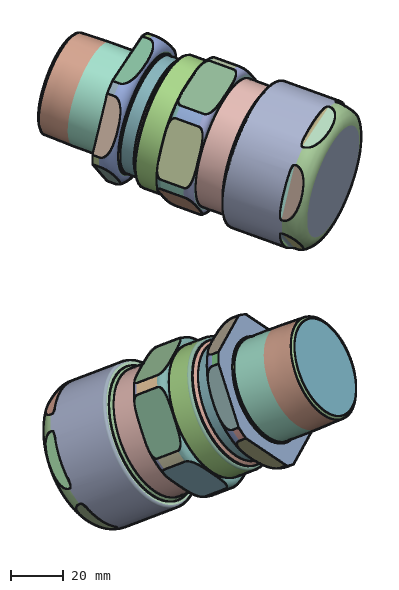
import cadquery as cq
import math


HEX_SIDES = 6
HEX_FLATS = 54.9
HEX_CORNERS_DIAMETER = 60.5

SPIGOT_DIAMETER = 42.1
SPIGOT_TIP_DIAMETER = 41.4
SPIGOT_FACE_DIAMETER = 39.1
TIP_CHAMFER_LENGTH = 0.9
TAPER_END = 13.4
ROOT_LENGTH = 0.7
ROOT_RISE = 0.5
COLLAR_START = 28.2
COLLAR_END = 36.3
COLLAR_ROUND = 5.1
NECK_DIAMETER = 47.9

SKIRT_START = 44.4
SKIRT_DIAMETER = 53.9
HEX_START = 54.4
HEX_END = 70.0
HEX_ROUND = 2.9
SLEEVE_DIAMETER = 52.2

NUT_START = 82.7
NUT_END = 115.7
NUT_DIAMETER = 59.5
NUT_END_ROUND = 7.2
FLAT_START = 107.2
FLAT_ROUND = 1.0
RIM_ROUND = 1.0

FRONT_SEAL_START = 42.7
FRONT_SEAL_DIAMETER = 50.8
REAR_SEAL_START = 81.4
REAR_SEAL_DIAMETER = 54.6


def cylinder(start, end, diameter):
    """A cylinder on the X axis."""
    return cq.Workplane("YZ", origin=(start, 0, 0)).circle(diameter / 2).extrude(end - start)


def revolve_about_x(profile):
    """Turn a closed (X, radius) profile once around the X axis."""
    return profile.close().revolve(360, (0, 0, 0), (1, 0, 0))


def hexagon(start, end, rounded_edges, rounding):
    """A hexagon with corners on +-Y, trimmed by a cylinder whose chosen end edges are rounded."""
    prism = (
        cq.Workplane("YZ", origin=(start, 0, 0))
        .polygon(HEX_SIDES, HEX_FLATS / math.cos(math.pi / HEX_SIDES))
        .extrude(end - start)
    )
    envelope = cylinder(start, end, HEX_CORNERS_DIAMETER).edges(rounded_edges).fillet(rounding)
    return prism.intersect(envelope)


def make_entry_fitting():
    spigot_radius = SPIGOT_DIAMETER / 2
    neck_radius = NECK_DIAMETER / 2
    turned = revolve_about_x(
        cq.Workplane("XY")
        .moveTo(0, 0)
        .lineTo(0, SPIGOT_FACE_DIAMETER / 2)
        .lineTo(TIP_CHAMFER_LENGTH, SPIGOT_TIP_DIAMETER / 2)
        .lineTo(TAPER_END, spigot_radius)
        .lineTo(COLLAR_START - ROOT_LENGTH, spigot_radius)
        .lineTo(COLLAR_START, spigot_radius + ROOT_RISE)
        .lineTo(COLLAR_END, neck_radius + ROOT_RISE)
        .lineTo(COLLAR_END + ROOT_LENGTH, neck_radius)
        .lineTo(SKIRT_START, neck_radius)
        .lineTo(SKIRT_START, 0)
    )
    return turned.union(hexagon(COLLAR_START, COLLAR_END, ">X", COLLAR_ROUND))


def make_seal(start, inner_diameter, outer_diameter, seat):
    """A ring that widens at 45 degrees and then runs straight up to its seat."""
    inner_radius = inner_diameter / 2
    outer_radius = outer_diameter / 2
    cone_end = start + outer_radius - inner_radius
    return revolve_about_x(
        cq.Workplane("XY")
        .moveTo(start, inner_radius)
        .lineTo(cone_end, outer_radius)
        .lineTo(seat, outer_radius)
        .lineTo(seat, inner_radius)
    )


def make_middle_body():
    skirt = cylinder(SKIRT_START, HEX_START, SKIRT_DIAMETER).edges("<X").fillet(RIM_ROUND)
    sleeve = cylinder(HEX_END, NUT_START, SLEEVE_DIAMETER)
    return skirt.union(hexagon(HEX_START, HEX_END, "%CIRCLE", HEX_ROUND)).union(sleeve)


def make_flat_cutter():
    """Removes the material above one flat; the flat runs out of the nut's rear end."""
    flat_height = HEX_FLATS / 2
    corner_offset = FLAT_ROUND * (1 - math.sqrt(0.5))
    return (
        cq.Workplane("XZ")
        .moveTo(NUT_END, flat_height)
        .lineTo(FLAT_START + FLAT_ROUND, flat_height)
        .threePointArc(
            (FLAT_START + corner_offset, flat_height + corner_offset),
            (FLAT_START, flat_height + FLAT_ROUND),
        )
        .lineTo(FLAT_START, NUT_DIAMETER)
        .lineTo(NUT_END, NUT_DIAMETER)
        .close()
        .extrude(NUT_DIAMETER / 2, both=True)
    )


def make_end_nut():
    nut = cylinder(NUT_START, NUT_END, NUT_DIAMETER)
    nut = nut.edges("<X").fillet(RIM_ROUND).edges(">X").fillet(NUT_END_ROUND)
    cutter = make_flat_cutter()
    for index in range(HEX_SIDES):
        nut = nut.cut(cutter.rotate((0, 0, 0), (1, 0, 0), index * 360 / HEX_SIDES))
    return nut


entry_fitting = make_entry_fitting()
front_seal = make_seal(FRONT_SEAL_START, NECK_DIAMETER, FRONT_SEAL_DIAMETER, SKIRT_START)
middle_body = make_middle_body()
rear_seal = make_seal(REAR_SEAL_START, SLEEVE_DIAMETER, REAR_SEAL_DIAMETER, NUT_START)
end_nut = make_end_nut()

result = cq.Compound.makeCompound(
    [
        entry_fitting.val(),
        front_seal.val(),
        middle_body.val(),
        rear_seal.val(),
        end_nut.val(),
    ]
)